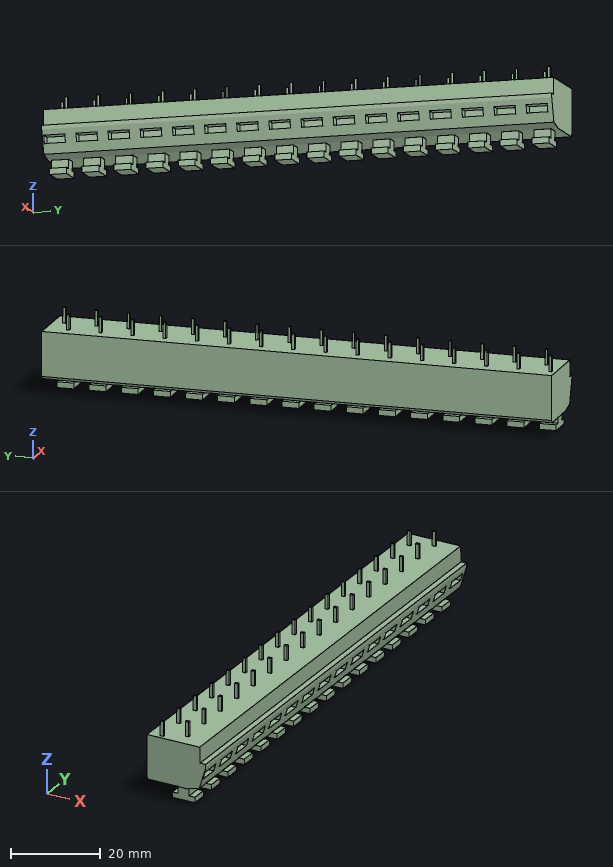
import cadquery as cq

POLES = 16
PITCH = 7.5

BODY_LENGTH = 119.0
BODY_DEPTH = 15.0
BODY_HEIGHT = 11.0

CORNER_RISE = 0.6
CORNER_INSET = 0.25

UPPER_WALL_TOP_X = 13.5
UPPER_WALL_FOOT_X = 13.6
LEDGE_Z = 7.1
LEDGE_LIP = 1.0
TOE_X = 13.4
TOE_Z = 0.8
FLAT_END_X = 10.3

PIN_HEIGHT = 3.6
PIN_SIZE_X = 0.8
PIN_SIZE_Y = 0.6
PIN_ROW_X = 3.3
PIN_ROW_SPACING = 5.0
PIN_STAGGER = 2.5
PIN_ROW_SHIFT = -2.0

POCKET_WALL = 0.4
POCKET_BOTTOM_Z = 3.1
POCKET_TOP_Z = 4.9
POCKET_FLOOR_X = 12.2

BUTTON_WIDTH = 4.0
BUTTON_CENTER_X = 8.9
BUTTON_SHIFT = -0.4
BUTTON_DROP = 3.5
STEM_SIZE_X = 2.9
HEAD_SIZE_X = 5.8
HEAD_THICKNESS = 1.4


def position_y(index, row_middle):
    """Y of one contact position in a row centred on row_middle."""
    return row_middle + (index - (POLES - 1) / 2) * PITCH


def extrude_along_y(points, length):
    """Solid with an XZ outline, centred on Y = 0."""
    return cq.Workplane("XZ").polyline(points).close().extrude(length / 2, both=True)


def make_body():
    """Housing bar with the ledge and sloping face on its +X side."""
    outline = [
        (CORNER_INSET, 0),
        (FLAT_END_X, 0),
        (TOE_X, TOE_Z),
        (BODY_DEPTH, LEDGE_Z - LEDGE_LIP),
        (BODY_DEPTH, LEDGE_Z),
        (UPPER_WALL_FOOT_X, LEDGE_Z),
        (UPPER_WALL_TOP_X, BODY_HEIGHT),
        (0, BODY_HEIGHT),
        (0, CORNER_RISE),
    ]
    return extrude_along_y(outline, BODY_LENGTH)


def make_pocket(y, width):
    """Cutter for one rectangular wire pocket, open through the +X face."""
    return cq.Workplane("XY").box(
        BODY_DEPTH - POCKET_FLOOR_X,
        width,
        POCKET_TOP_Z - POCKET_BOTTOM_Z,
        centered=(False, True, False),
    ).translate((POCKET_FLOOR_X, y, POCKET_BOTTOM_Z))


def make_pin(x, y):
    """Solder pin standing on the top face."""
    return (
        cq.Workplane("XY", origin=(x, y, BODY_HEIGHT))
        .rect(PIN_SIZE_X, PIN_SIZE_Y)
        .extrude(PIN_HEIGHT)
    )


def make_button(y):
    """T-shaped push button hanging from the bottom face."""
    head_top = HEAD_THICKNESS - BUTTON_DROP
    half_stem = STEM_SIZE_X / 2
    half_head = HEAD_SIZE_X / 2
    outline = [
        (-half_stem, 0),
        (-half_stem, head_top),
        (-half_head, head_top),
        (-half_head, -BUTTON_DROP),
        (half_head, -BUTTON_DROP),
        (half_head, head_top),
        (half_stem, head_top),
        (half_stem, 0),
    ]
    return extrude_along_y(outline, BUTTON_WIDTH).translate((BUTTON_CENTER_X, y, 0))


first_pole_y = position_y(0, BUTTON_SHIFT)
pocket_width = 2 * (first_pole_y + BODY_LENGTH / 2 - POCKET_WALL)

result = make_body()
for pole in range(POLES):
    pole_y = position_y(pole, BUTTON_SHIFT)
    first_row_y = position_y(pole, PIN_ROW_SHIFT)
    result = result.cut(make_pocket(pole_y, pocket_width))
    result = result.union(make_pin(PIN_ROW_X, first_row_y))
    result = result.union(make_pin(PIN_ROW_X + PIN_ROW_SPACING, first_row_y + PIN_STAGGER))
    result = result.union(make_button(pole_y))